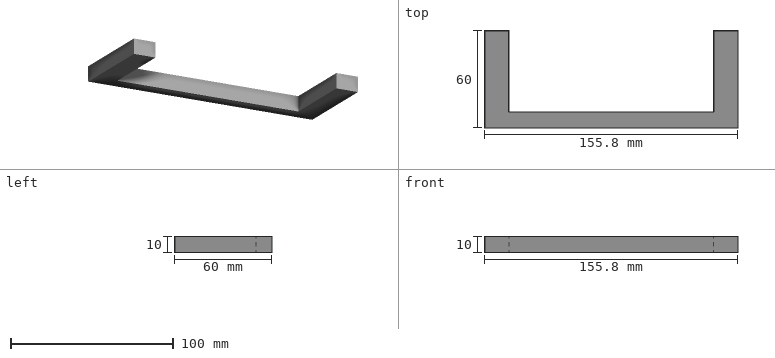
import cadquery as cq

overall_width = 155.8
overall_depth = 60.0
thickness = 10.0
bar_depth = 10.0
leg_width = 15.0

leg_length = overall_depth - bar_depth
inner_width = overall_width - 2 * leg_width


def make_blank():
    """Rectangular plate, centred in X, with its front face at Y = 0 and base at Z = 0."""
    return cq.Workplane("XY").box(
        overall_width, overall_depth, thickness, centered=(True, False, False)
    )


def make_gap():
    """Block of material removed between the legs, open toward +Y."""
    return (
        cq.Workplane("XY")
        .box(inner_width, leg_length, thickness, centered=(True, False, False))
        .translate((0, bar_depth, 0))
    )


result = make_blank().cut(make_gap())